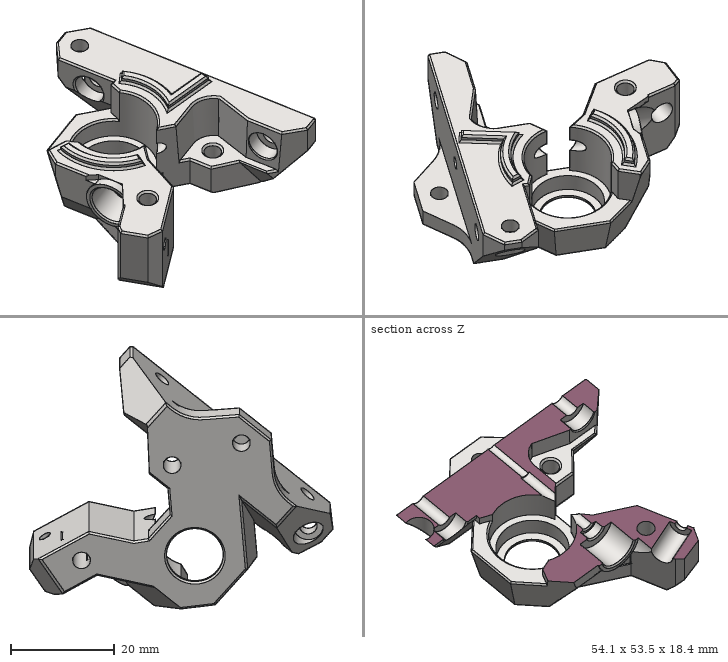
import cadquery as cq
import math

EDGE_CHAMFER = 0.4
RIM_CHAMFER = 0.3
FAR = 81.1

BODY_TOP = 16.9
RING_TOP = 9.1
PAD_TOP = 6.9
FLANGE_TOP = 3.95
FOOT_TOP = 3.95
RIB_TOP = 18.4

BORE_D, SEAT_D, SHAFT_D = 17.0, 14.2, 11.0
BORE_FLOOR = 4.7
SEAT_FLOOR = 0.9

BEAM_LEFT, BEAM_RIGHT = -20.55, 33.5
BEAM_FRONT, BEAM_BACK = 9.8, 20.5
OVERHANG_SLOPE = 1.22
LEFT_FACE_RISE = 15.1
RIGHT_FACE_RISE = 11.0
FRONT_FACE_RISE, FRONT_FACE_RUN = 10.0, 4.9

RING_LEFT, RING_RIGHT = -11.5, 9.1
RING_TAPER = 12.0

ARM_FRONT = -15.4
ARM_SIDE_X = 11.75
ARM_CUT_RISE, ARM_CUT_RUN = 8.4, 5.4
TIP_RISE = 4.5
FOOT_STEP = 0.3

FLANGE_BACK = 27.8
FLANGE_HALF_TOP = 4.05
FLANGE_SWEEP_R = 8.3
FLANGE_ROOT = 1.6

SCREW_D = 3.4
SCREW_RIM_D = 4.2
BEAM_SCREW = (-16.1, 14.9)
PAD_SCREW = (15.5, 11.45)
ARM_SCREW = (16.1, -14.9)
FLANGE_SCREW = (8.245, 23.6)
NUT_RECESS_D = 5.8
NUT_RECESS_TOP = 13.8

CROSS_Z = 11.6
FACE_HOLE_D = 3.3
FACE_RECESS_D = 6.25
FACE_RECESS_DEPTH = 3.25
LEFT_HOLE_X, RIGHT_HOLE_X = -11.2, 25.7
POCKET_FRONT = 13.05
POCKET_DRAFT = 2.5

BOSS_X = 8.15
BOSS_D = 10.5
BOSS_FRONT, BOSS_BACK = -15.75, -10.8
NOTCH_FLOOR = 15.55
NOTCH_LEFT, NOTCH_BACK = 2.6, -14.05
NOTCH_CORNER = (10.0, NOTCH_BACK)
GUSSET_END = (12.9, -18.8)
BOSS_BORES = [(8.3, -9.2), (4.4, -7.05), (2.8, 10.8)]
CROSS_HOLE_D = 2.4

TIP_HOLE_START = (13.95, -21.75)
TIP_HOLE_Z = 10.7
TIP_HOLE_ANGLE = 19.7
TIP_RECESS_D, TIP_HOLE_D = 4.7, 2.4
TIP_RECESS_DEPTH = 7.9

RIB_INNER_R, RIB_OUTER_R = 10.6, 13.45
RIB_END_ANGLE = 114.3
LOWER_RIB_RIGHT_ANGLE = -33.2
STROKE_ANGLE = 75.0
STROKE_NEAR, STROKE_FAR = 2.85, 5.7
STROKE_END = 21.25
RIB_STEP = 0.45


def prism(points, top, bottom=0.0):
    return cq.Workplane("XY").workplane(offset=bottom).polyline(points).close().extrude(top - bottom)


def disc(x, y, diameter, bottom, top):
    return cq.Workplane("XY", origin=(x, y, bottom)).circle(diameter / 2).extrude(top - bottom)


def rod(start, direction, diameter, length, rim=0.0):
    """Cylinder from a start point, with an optional conical rim at the start."""
    plane = cq.Plane(origin=start, xDir=None, normal=direction)
    body = cq.Workplane(plane).circle(diameter / 2).extrude(length)
    if rim:
        cone = cq.Workplane(plane).circle(diameter / 2 + rim).extrude(rim, taper=45)
        body = body.union(cone)
    return body


def undercut(x, y, outward, rise, run):
    """Body below a leaning plane that meets the point at height `rise` and Z = 0 `run` inward."""
    angle = math.radians(outward)
    direction = (math.cos(angle), math.sin(angle), 0)
    side = (math.sin(angle), -math.cos(angle), 0)
    plane = cq.Plane(origin=(x, y, 0), xDir=direction, normal=side)
    stretch = 3.0
    outline = [
        (-run * (1 + stretch), -rise * stretch),
        (run * stretch, rise * (1 + stretch)),
        (run * stretch, -rise * stretch),
    ]
    return cq.Workplane(plane).polyline(outline).close().extrude(FAR, both=True)


def bore():
    body = disc(0, 0, BORE_D, BORE_FLOOR, FAR)
    body = body.union(disc(0, 0, SEAT_D, SEAT_FLOOR, FAR))
    return body.union(disc(0, 0, SHAFT_D, -FAR, FAR))


def level_edges(body, height):
    """Edges of the horizontal faces at one height."""
    faces = [f for f in body.faces("|Z").vals() if abs(f.Center().z - height) < 0.005]
    return [edge for face in faces for edge in face.Edges()]


def chamfer_level(body, height):
    return body.newObject(level_edges(body, height)).chamfer(EDGE_CHAMFER)


def chamfer_pad(body):
    """Chamfer the free edges of the screw pad, leaving those at the foot of the pocket walls."""
    edges = [e for e in level_edges(body, PAD_TOP) if e.Center().x > 11.35 and e.Center().y < 12.45]
    return body.newObject(edges).chamfer(EDGE_CHAMFER)


def chamfer_underside(body):
    """Chamfer the underside, except at the pad's slanted side and the arm's leaning underside."""

    def plain(edge):
        center = edge.Center()
        pad_side = center.x > 18.9 and 8.1 < center.y < 13.5
        lean = abs(center.y - (ARM_FRONT + ARM_CUT_RUN)) < 0.05
        return not (pad_side or lean)

    edges = [e for e in level_edges(body, 0) if plain(e)]
    return body.newObject(edges).chamfer(EDGE_CHAMFER)


def beam():
    outline = [
        (-16.9, BEAM_BACK),
        (BEAM_LEFT, 17.05),
        (BEAM_LEFT, 13.55),
        (-18.0, BEAM_FRONT),
        (25.85, BEAM_FRONT),
        (BEAM_RIGHT, 17.0),
        (BEAM_RIGHT, 20.05),
        (33.1, BEAM_BACK),
    ]
    body = prism(outline, BODY_TOP)
    body = body.cut(undercut(0, BEAM_FRONT, -90, FRONT_FACE_RISE, FRONT_FACE_RUN))
    body = body.cut(undercut(BEAM_LEFT, 0, 180, LEFT_FACE_RISE, LEFT_FACE_RISE / OVERHANG_SLOPE))
    body = body.union(beam_web()).cut(pad_pocket()).cut(bore())
    body = body.cut(undercut(BEAM_RIGHT, 0, 0, RIGHT_FACE_RISE, RIGHT_FACE_RISE / OVERHANG_SLOPE))
    return chamfer_pad(chamfer_level(body, BODY_TOP))


def beam_web():
    """Wall that joins the beam to the bore, with the low screw pad on its right."""
    web = [
        (-5.75, 16.2),
        (-5.75, 8.85),
        (-2.15, 7.4),
        (7.55, 1.8),
        (12.9, 7.15),
        (17.6, 7.15),
        (25.1, 15.25),
        (25.1, 16.2),
    ]
    return prism(web, BODY_TOP).intersect(draft_limit())


def pad_pocket():
    """Space above the screw pad."""
    return (
        cq.Workplane("XY")
        .workplane(offset=PAD_TOP)
        .moveTo(11.35, 0)
        .lineTo(11.35, 11.75)
        .threePointArc((12.4, 14.1), (14.45, 15.5))
        .lineTo(22.05, POCKET_FRONT)
        .lineTo(FAR, POCKET_FRONT)
        .lineTo(FAR, 0)
        .close()
        .extrude(BODY_TOP, taper=-POCKET_DRAFT)
    )


def draft_limit():
    """Body whose left faces lean outward with height, like the ring's outer faces."""
    outline = [
        (RING_LEFT, 5.2),
        (RING_LEFT + 21.6, 26.8),
        (FAR, 26.8),
        (FAR, -29.75),
        (10.1, -29.75),
        (RING_LEFT, -6.05),
    ]
    below, above = (
        cq.Workplane("XY").workplane(offset=RING_TOP).polyline(outline).close().extrude(height, taper=taper)
        for height, taper in ((-RING_TOP, RING_TAPER), (BODY_TOP - RING_TOP, -RING_TAPER))
    )
    return below.union(above)


def ring():
    outline = [
        (-16.2, 10.8),
        (5.4, 10.8),
        (RING_RIGHT, 3.35),
        (RING_RIGHT, -3.35),
        (5.4, -13.0),
        (-16.2, -13.0),
    ]
    opening = cq.Workplane("XY").box(FAR, FAR, FAR, centered=(False, True, False))
    body = prism(outline, RING_TOP).intersect(draft_limit()).cut(bore())
    body = body.cut(opening.translate((0, 0, BORE_FLOOR)))
    return chamfer_level(body, RING_TOP)


def arm():
    outline = [
        (7.55, -1.4),
        (10.9, -5.4),
        (18.8, -9.5),
        (23.0, -21.15),
        (21.45, -24.1),
        (16.2, -25.7),
        (14.9, -24.5),
        (ARM_SIDE_X, ARM_FRONT),
        (-4.2, ARM_FRONT),
        (-7.3, -13.1),
        (-7.3, -12.7),
        (-5.55, -8.75),
        (-2.15, -7.5),
    ]
    body = chamfer_level(prism(outline, BODY_TOP).cut(bore()), BODY_TOP).intersect(draft_limit())
    return body.cut(undercut(16.2, -25.7, -73.5, TIP_RISE, TIP_RISE / OVERHANG_SLOPE))


def arm_undercut():
    """Leaning underside left of the arm's root; the root itself stands on a low foot."""
    corner_y = ARM_FRONT + FOOT_STEP
    root = [(-3.25, -7.35), (ARM_SIDE_X, corner_y), (32.45, corner_y), (32.45, 0), (-3.25, 0)]
    foot = [(x, y - FOOT_STEP) for x, y in root]
    tip = [(0, ARM_FRONT), (0, -32.45), (32.45, -32.45), (32.45, ARM_FRONT)]
    body = undercut(0, ARM_FRONT, -90, ARM_CUT_RISE, ARM_CUT_RUN)
    for outline, top in ((root, FAR), (foot, FOOT_TOP), (tip, FAR)):
        body = body.cut(prism(outline, top, -FAR))
    return body


def flange():
    """Low mounting tab on the back, with 45 degree sides that sweep into the beam."""
    center_x = FLANGE_SCREW[0]
    reach = FLANGE_SWEEP_R * math.tan(math.radians(22.5))
    foot_x = FLANGE_HALF_TOP + FLANGE_BACK - BEAM_BACK
    tangent = reach * math.sqrt(0.5)
    mid = (
        foot_x + reach - FLANGE_SWEEP_R * math.sin(math.radians(22.5)),
        BEAM_BACK + FLANGE_SWEEP_R * (1 - math.cos(math.radians(22.5))),
    )
    half = (
        cq.Workplane("XY")
        .moveTo(0, BEAM_BACK - FLANGE_ROOT)
        .lineTo(foot_x + reach, BEAM_BACK - FLANGE_ROOT)
        .lineTo(foot_x + reach, BEAM_BACK)
        .threePointArc(mid, (foot_x - tangent, BEAM_BACK + tangent))
        .lineTo(FLANGE_HALF_TOP, FLANGE_BACK)
        .lineTo(0, FLANGE_BACK)
        .close()
        .extrude(FLANGE_TOP)
    )
    return half.union(half.mirror("YZ")).translate((center_x, 0, 0))


def rib_point(angle, distance, radius):
    """Point at a radius on the line with this direction that passes the bore axis at a distance."""
    turn = math.radians(angle)
    along = math.sqrt(radius**2 - distance**2)
    return (
        along * math.cos(turn) + distance * math.sin(turn),
        along * math.sin(turn) - distance * math.cos(turn),
    )


def on_circle(angle, radius):
    return rib_point(angle, 0, radius)


def tiered_rib(outline):
    """Rib with a flared base, upright sides and a chamfered top; `outline` takes an inset."""
    wall = outline(RIB_STEP).extrude(RIB_TOP - BODY_TOP).faces(">Z").chamfer(RIB_STEP)
    base = outline(0).extrude(RIB_STEP).faces(">Z").chamfer(RIB_STEP * 0.99)
    return base.union(wall)


def upper_rib(inset):
    """Arc behind the bore that runs into a straight stroke towards the back."""
    inner, outer = RIB_INNER_R + inset, RIB_OUTER_R - inset
    near, far = STROKE_NEAR + inset, STROKE_FAR - inset
    end = math.hypot(STROKE_END - inset, near), math.hypot(STROKE_END - inset, far)
    return (
        cq.Workplane("XY", origin=(0, 0, BODY_TOP))
        .moveTo(*rib_point(RIB_END_ANGLE, inset, inner))
        .lineTo(*rib_point(RIB_END_ANGLE, inset, outer))
        .threePointArc(on_circle(90, outer), rib_point(STROKE_ANGLE, near, outer))
        .lineTo(*rib_point(STROKE_ANGLE, near, end[0]))
        .lineTo(*rib_point(STROKE_ANGLE, far, end[1]))
        .lineTo(*rib_point(STROKE_ANGLE, far, inner))
        .threePointArc(on_circle(90, inner), rib_point(RIB_END_ANGLE, inset, inner))
        .close()
    )


def lower_rib(inset):
    """Plain arc in front of the bore."""
    inner, outer = RIB_INNER_R + inset, RIB_OUTER_R - inset
    left, right = -RIB_END_ANGLE, LOWER_RIB_RIGHT_ANGLE
    return (
        cq.Workplane("XY", origin=(0, 0, BODY_TOP))
        .moveTo(*rib_point(left, -inset, inner))
        .lineTo(*rib_point(left, -inset, outer))
        .threePointArc(on_circle(-75, outer), rib_point(right, inset, outer))
        .lineTo(*rib_point(right, inset, inner))
        .threePointArc(on_circle(-75, inner), rib_point(left, -inset, inner))
        .close()
    )


def add_boss(body):
    """Round boss with a notch above it, a gusset to the arm and clearance in front of it."""
    front = (BOSS_X, BOSS_FRONT, CROSS_Z)
    notch = [
        (NOTCH_LEFT, -32.45),
        (NOTCH_LEFT, ARM_FRONT),
        (4.7, NOTCH_BACK),
        NOTCH_CORNER,
        GUSSET_END,
        (GUSSET_END[0], -32.45),
    ]
    gusset = [NOTCH_CORNER, GUSSET_END, (13.5, GUSSET_END[1]), (13.5, NOTCH_BACK)]
    body = body.union(prism(gusset, BODY_TOP, NOTCH_FLOOR)).cut(prism(notch, FAR, NOTCH_FLOOR))
    boss = rod(front, (0, 1, 0), BOSS_D, BOSS_BACK - BOSS_FRONT)
    body = body.union(boss).cut(rod(front, (0, -1, 0), BOSS_D, FAR))
    start = BOSS_FRONT
    for diameter, floor in BOSS_BORES:
        hole = rod((BOSS_X, start, CROSS_Z), (0, 1, 0), diameter, floor - start, RIM_CHAMFER)
        body = body.cut(hole)
        start = floor
    return body.cut(rod(front, (0, 1, 0), CROSS_HOLE_D, FAR))


def cut_vertical_holes(body):
    for x, y in (BEAM_SCREW, FLANGE_SCREW, PAD_SCREW, ARM_SCREW):
        body = body.cut(disc(x, y, SCREW_D, -0.55, FAR))
    rim = (SCREW_RIM_D - SCREW_D) / 2
    for (x, y), top in ((PAD_SCREW, PAD_TOP), (ARM_SCREW, BODY_TOP)):
        body = body.cut(rod((x, y, top), (0, 0, -1), SCREW_D, 0.55, rim))
    return body.cut(disc(*BEAM_SCREW, NUT_RECESS_D, -0.55, NUT_RECESS_TOP))


def cut_face_holes(body):
    """Counterbored holes from the front through the beam, one near each end."""
    for x, front in ((LEFT_HOLE_X, BEAM_FRONT), (RIGHT_HOLE_X, POCKET_FRONT)):
        start = (x, front, CROSS_Z)
        body = body.cut(rod(start, (0, 1, 0), FACE_HOLE_D, FAR))
        body = body.cut(rod(start, (0, 1, 0), FACE_RECESS_D, FACE_RECESS_DEPTH, RIM_CHAMFER))
    return body


def cut_tip_hole(body):
    """Counterbored hole across the arm's tip, square to the arm's right side."""
    turn = math.radians(TIP_HOLE_ANGLE)
    direction = cq.Vector(math.cos(turn), math.sin(turn), 0)
    start = cq.Vector(*TIP_HOLE_START, TIP_HOLE_Z)
    clear = 2.7
    recess = rod(start - direction * clear, direction, TIP_RECESS_D, TIP_RECESS_DEPTH + clear)
    return body.cut(rod(start, direction, TIP_HOLE_D, FAR)).cut(recess)


body = beam().union(ring()).union(arm()).union(flange()).cut(arm_undercut())
body = chamfer_underside(body)
body = body.union(tiered_rib(upper_rib)).union(tiered_rib(lower_rib))
body = add_boss(body)
body = cut_vertical_holes(body)
body = cut_face_holes(body)
result = cut_tip_hole(body)